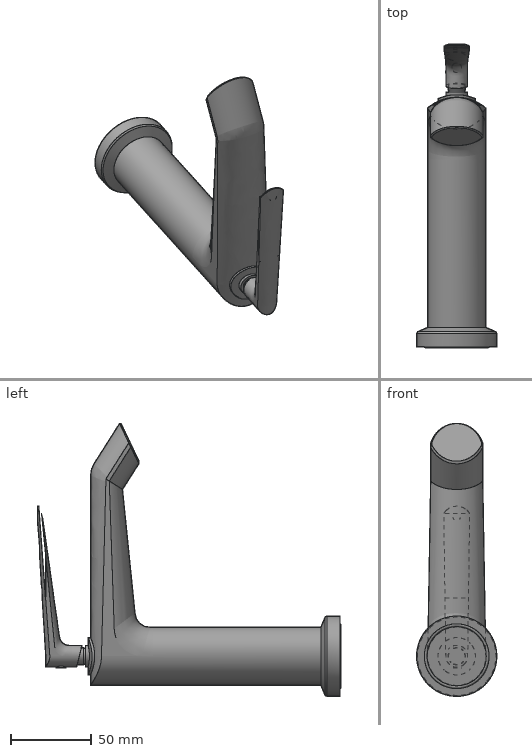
import cadquery as cq
import math


flange_radius = 50.0 / 2
bead_height = 0.5
bead_section_radius = 1.0
bead_ring_radius = 19.2
flange_rim_y = 8.9
flange_bevel_y = 10.0
flange_bevel_radius = 24.3
flange_cone_y = 12.6
tube_radius = 18.1

back_y = 155.7
back_rise = 6.8
column_side_front_y = 140.4
column_ridge_front_y = 125.3
column_side_bend = 17.5
column_ridge_bend = 9.5

spout_lean = math.radians(32.4)
spout_joint_z = 116.2
spout_half_width = 16.2
spout_side_back = 11.3
spout_side_front = 13.8
spout_depth = 23.5
spout_tip_z = 145.5
spout_mouth_drop = 23.8
spout_mouth_run = 11.3
spout_back_fillet = 13.2
spout_mouth_chamfer = 1.0

pad_radius = 23.2 / 2
pad_height = 1.5
collar_radius = 13.5 / 2
collar_y = 158.9
neck_radius = 10.2 / 2
neck_y = 160.2

boss_radius = 10.8 / 2
arm_radius = 6.8
arm_end_y = 162.7
arm_end_slant = 1.7
lever_back_y = 183.6
lever_back_rise = 2.6
lever_side_front_y = 177.4
lever_ridge_front_y = 173.2
lever_bend = 6.0
screw_radius = 6.0 / 2
screw_y = 174.0
screw_z = -7.2

tip_z = 93.2
tip_corner_z = 88.5
tip_half_width = 8.1
tip_back_y = 188.7
tip_ridge_back_y = 189.3
tip_side_back_y = 187.7
tip_side_front_y = 186.6
tip_ridge_front_y = 186.5
tip_bevel_z = 84.5
tip_bevel_y = 185.1
tip_top_y = 187.4

bend_steps = 10
bend_run_out = 1.9


def disc(radius, y_start, y_end):
    """Cylinder along the y axis."""
    return cq.Workplane("XZ", origin=(0, y_start, 0)).circle(radius).extrude(y_start - y_end)


def side_plate(points, half_width):
    """Prism symmetric about x = 0 from an outline of (y, z) points."""
    return cq.Workplane("YZ").polyline(points).close().extrude(half_width, both=True)


def cap_wire(half_width, side, ridge):
    """Arc over a chord: side and ridge are the (y, z) places of the chord and of the arc's middle."""
    left = cq.Vector(-half_width, *side)
    right = cq.Vector(half_width, *side)
    arc = cq.Edge.makeThreePointArc(left, cq.Vector(0, *ridge), right)
    return cq.Wire.assembleEdges([arc, cq.Edge.makeLine(right, left)])


def cap_loft(sections, ruled=True):
    """Solid through a row of arc-and-chord sections."""
    wires = [cap_wire(*section) for section in sections]
    return cq.Workplane(cq.Solid.makeLoft(wires, ruled))


def point_at_height(bottom, top, z):
    """Point at height z on the line from bottom to top."""
    share = (z - bottom[1]) / (top[1] - bottom[1])
    return (bottom[0] + share * (top[0] - bottom[0]), z)


def bend_points(bottom, top, level, radius):
    """(y, z) points along the arc that rounds the upright line into the horizontal line z = level."""
    tilt = math.atan2(top[0] - bottom[0], top[1] - bottom[1])
    corner_y = point_at_height(bottom, top, level)[0]
    turn = math.pi / 2 - tilt
    reach = radius * math.tan(turn / 2)
    centre = (corner_y - reach, level + radius)
    angles = [-tilt - turn * step / bend_steps for step in range(bend_steps + 1)]
    return [(centre[0] + radius * math.cos(a), centre[1] + radius * math.sin(a)) for a in angles]


def elbow(radius, arm_y, bottom, top, top_half_width, side_bend, ridge_bend):
    """Half-round arm along y turning up into a lens-section upright.

    bottom and top give the (y, z) places of the back ridge, back side, front side and front ridge.
    """
    back, side_back, side_front, front = bottom
    top_back, top_side_back, top_side_front, top_front = top
    top_z = top_side_back[1]

    def half_width(z):
        return radius + (top_half_width - radius) * z / top_z

    side_curve = bend_points(side_front, top_side_front, 0, side_bend)
    ridge_curve = bend_points(front, top_front, radius, ridge_bend)
    end_y = min(side_curve[-1][0], ridge_curve[-1][0]) - bend_run_out

    back_skin = cap_loft([(radius, side_back, back), (top_half_width, top_side_back, top_back)])
    bend = [(half_width(side[1]), side, ridge) for side, ridge in zip(side_curve, ridge_curve)]
    front_skin = cap_loft([bend[0], (top_half_width, top_side_front, top_front)])

    bend_skin = cap_loft(bend, ruled=False)
    bend_end = cap_loft([bend[-1], (radius, (end_y, 0), (end_y, radius))])

    core_outline = [side_back, top_side_back, top_side_front, *side_curve]
    top_limit = max(top_side_back[1], top_side_front[1])
    width_limit = half_width(top_limit)
    taper_outline = [(-radius, 0), (radius, 0), (width_limit, top_limit), (-width_limit, top_limit)]
    taper = cq.Workplane("XZ", origin=(0, back[0], 0)).polyline(taper_outline).close()
    taper = taper.extrude(back[0] - end_y)
    core = side_plate(core_outline, 2 * radius).intersect(taper)

    upper_half = side_plate([(arm_y, 0), (end_y, 0), (end_y, radius), (arm_y, radius)], radius)
    upper_arm = disc(radius, arm_y, end_y).intersect(upper_half)
    lower_end = (
        cq.Workplane("XY")
        .moveTo(-radius, arm_y)
        .lineTo(-radius, side_back[0])
        .threePointArc((0, back[0]), (radius, side_back[0]))
        .lineTo(radius, arm_y)
        .close()
        .extrude(-radius)
    )
    lower_arm = disc(radius, arm_y, back[0]).intersect(lower_end)
    arm = lower_arm.union(upper_arm).union(bend_end)
    return arm.union(core).union(back_skin).union(front_skin).union(bend_skin)


def spout_point(across, along=0):
    """(y, z) place from the back ridge of the spout joint, across and along the spout."""
    y = back_y - across * math.cos(spout_lean) - along * math.sin(spout_lean)
    z = spout_joint_z - across * math.sin(spout_lean) + along * math.cos(spout_lean)
    return (y, z)


def spout():
    """Straight lens-section bar with a slanted mouth."""
    length = (spout_tip_z - spout_joint_z) / math.cos(spout_lean)
    tip = spout_point(0, length)

    def skin(side, ridge):
        return cap_loft([
            (spout_half_width, spout_point(side), spout_point(ridge)),
            (spout_half_width, spout_point(side, length), spout_point(ridge, length)),
        ])

    core_outline = [
        spout_point(spout_side_back),
        spout_point(spout_side_back, length),
        spout_point(spout_side_front, length),
        spout_point(spout_side_front),
    ]
    core = side_plate(core_outline, spout_half_width)
    bar = core.union(skin(spout_side_back, 0)).union(skin(spout_side_front, spout_depth))

    mouth_end = (tip[0] - 2 * spout_mouth_run, tip[1] - 2 * spout_mouth_drop)
    beyond = [tip, mouth_end, (mouth_end[0], tip[1])]
    return bar.cut(side_plate(beyond, 2 * spout_half_width))


def flange():
    """Base flange with a cone toward the tube and a thin sealing bead on its face."""
    base_y = bead_height
    profile = [
        (0, base_y),
        (flange_radius, base_y),
        (flange_radius, flange_rim_y),
        (flange_bevel_radius, flange_bevel_y),
        (tube_radius, flange_cone_y),
        (0, flange_cone_y),
    ]
    disc_plate = cq.Workplane("XY").polyline(profile).close().revolve(360, (0, 0, 0), (0, 1, 0))
    bead = (
        cq.Workplane("XY")
        .center(bead_ring_radius, bead_section_radius)
        .circle(bead_section_radius)
        .revolve(360, (-bead_ring_radius, 0, 0), (-bead_ring_radius, 1, 0))
    )
    return disc_plate.union(bead)


def lever_mount():
    """Pad that follows the curved back, with a collar and a short neck."""
    back_radius = (tube_radius**2 + back_rise**2) / (2 * back_rise)
    pad_back = (
        cq.Workplane("XY", origin=(0, back_y - back_radius, -pad_radius))
        .circle(back_radius + pad_height)
        .extrude(2 * pad_radius)
    )
    inner_y = back_y - back_rise
    pad = disc(pad_radius, inner_y, back_y + pad_height).intersect(pad_back)
    return pad.union(disc(collar_radius, inner_y, collar_y)).union(disc(neck_radius, inner_y, neck_y))


def build_housing():
    bottom = [(back_y, 0), (back_y - back_rise, 0), (column_side_front_y, 0), (column_ridge_front_y, 0)]
    top = [spout_point(across) for across in (0, spout_side_back, spout_side_front, spout_depth)]
    body = elbow(
        tube_radius, flange_rim_y, bottom, top, spout_half_width, column_side_bend, column_ridge_bend
    )

    body = body.union(spout())
    back_corner = cq.selectors.NearestToPointSelector((0, *spout_point(0)))
    body = body.edges(back_corner).fillet(spout_back_fillet)
    mouth = cq.selectors.ParallelDirSelector(cq.Vector(0, -spout_mouth_drop, spout_mouth_run))
    body = body.faces(mouth).edges().chamfer(spout_mouth_chamfer)
    return body.union(flange()).union(lever_mount())


def build_lever():
    bottom = [
        (lever_back_y, 0),
        (lever_back_y - lever_back_rise, 0),
        (lever_side_front_y, 0),
        (lever_ridge_front_y, 0),
    ]
    top = [(y, tip_z) for y in (tip_ridge_back_y, tip_side_back_y, tip_side_front_y, tip_ridge_front_y)]
    blade = elbow(arm_radius, neck_y, bottom, top, tip_half_width, lever_bend, lever_bend)

    slant = [
        (neck_y, -arm_radius),
        (arm_end_y + arm_end_slant, -arm_radius),
        (arm_end_y - arm_end_slant, arm_radius),
        (neck_y, arm_radius),
    ]
    blade = blade.cut(side_plate(slant, arm_radius))

    rounding = (
        cq.Workplane("XZ", origin=(0, tip_back_y, 0))
        .moveTo(-tip_half_width, tip_corner_z)
        .threePointArc((0, tip_z), (tip_half_width, tip_corner_z))
        .lineTo(tip_half_width, -2 * arm_radius)
        .lineTo(-tip_half_width, -2 * arm_radius)
        .close()
        .extrude(tip_back_y - neck_y)
    )
    bevel = [(tip_bevel_y, tip_bevel_z), (tip_top_y, tip_z), (neck_y, tip_z)]
    blade = blade.intersect(rounding).cut(side_plate(bevel, 2 * tip_half_width))

    boss = disc(boss_radius, neck_y, lever_ridge_front_y)
    screw = cq.Workplane("XY", origin=(0, screw_y, screw_z)).circle(screw_radius).extrude(-screw_z)
    return blade.union(boss).union(screw)


housing = build_housing()
lever = build_lever()
result = cq.Compound.makeCompound([housing.solids().val(), lever.solids().val()])